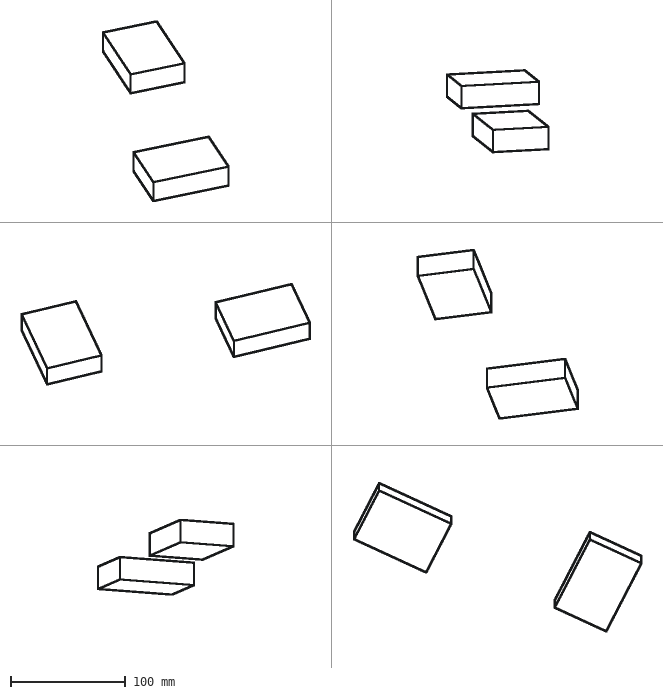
import cadquery as cq

overall_x = 235.0
overall_y = 90.0

block_length = 70.0
block_width = 50.0
block_height = 20.0


def make_block(corner_x, corner_y, size_x, size_y):
    """Plain block standing on Z = 0, placed by its lowest X and Y corner."""
    block = cq.Workplane("XY").box(size_x, size_y, block_height, centered=False)
    return block.translate((corner_x, corner_y, 0))


placements = [
    (0, overall_y - block_width, block_length, block_width),
    (overall_x - block_width, 0, block_width, block_length),
]

blocks = []
for placement in placements:
    blocks.append(make_block(*placement).val())

result = cq.Compound.makeCompound(blocks)